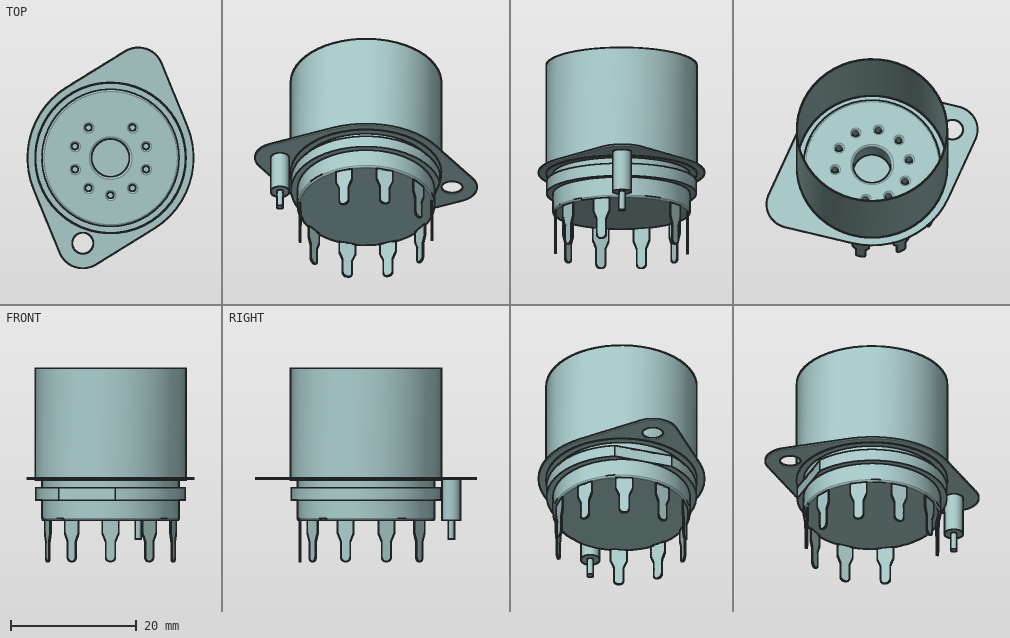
import cadquery as cq
import math

CONTACT_PLACES = 10
CONTACT_STEP = 360.0 / CONTACT_PLACES
FIRST_CONTACT_ANGLE = -90.0
EMPTY_PLACE = CONTACT_PLACES // 2
CONTACT_ANGLES = [
    FIRST_CONTACT_ANGLE + CONTACT_STEP * place
    for place in range(CONTACT_PLACES)
    if place != EMPTY_PLACE
]

BLADE_CIRCLE_RADIUS = 10.45
BLADE_THICKNESS = 0.2
BLADE_WIDTH = 2.67
BLADE_TIP_WIDTH = 1.55
BLADE_TIP_RADIUS = 0.7
BLADE_TAPER_BOTTOM = 3.15
BLADE_TAPER_TOP = 4.5

BASE_DIAMETER = 21.8
BASE_BOTTOM = 6.53
BASE_HEIGHT = 8.0
BASE_EDGE_RADIUS = 0.3
RING_DIAMETER = 23.8
RING_BOTTOM = 9.75
RING_HEIGHT = 2.0
RING_FLAT_ANGLE = 250.0
WELL_DIAMETER = 6.0
WELL_EDGE_RADIUS = 0.4
WELL_DEPTH = 4.0
CONTACT_HOLE_CIRCLE_RADIUS = 5.93
CONTACT_HOLE_DIAMETER = 1.02
CONTACT_HOLE_EDGE_RADIUS = 0.3
CONTACT_HOLE_DEPTH = 4.0

TUBE_OUTER_DIAMETER = 24.0
TUBE_INNER_DIAMETER = RING_DIAMETER
TUBE_BOTTOM = 12.95
TUBE_TOP = 30.7
FLANGE_BOTTOM = 13.05
FLANGE_THICKNESS = 0.28
FLANGE_EDGE_RADIUS = 0.1
FLANGE_DIAMETER = 26.43
FLANGE_LENGTH = 35.1
LUG_RADIUS = 4.0
LUG_AXIS_ANGLE = 72.0
MOUNT_HOLE_DIAMETER = 3.3
STANDOFF_DIAMETER = 3.0
STANDOFF_BOTTOM = BASE_BOTTOM
STANDOFF_PIN_DIAMETER = 1.02
STANDOFF_PIN_BOTTOM = 3.55

BASE_TOP = BASE_BOTTOM + BASE_HEIGHT
FLANGE_TOP = FLANGE_BOTTOM + FLANGE_THICKNESS
LUG_DISTANCE = (FLANGE_LENGTH / 2 - LUG_RADIUS) / math.sin(math.radians(LUG_AXIS_ANGLE))


def polar(radius, angle):
    """Point at a radius and an angle in degrees around the Z axis."""
    return (radius * math.cos(math.radians(angle)), radius * math.sin(math.radians(angle)))


def cylinder(diameter, bottom, top, center=(0, 0)):
    """Upright cylinder between two heights."""
    return cq.Workplane("XY", origin=(*center, bottom)).circle(diameter / 2).extrude(top - bottom)


def make_blade(angle):
    """Flat contact blade that narrows to a rounded tip, facing outward at the given angle."""
    half_width = BLADE_WIDTH / 2
    half_tip = BLADE_TIP_WIDTH / 2
    outline = [
        (-half_tip, 0),
        (half_tip, 0),
        (half_tip, BLADE_TAPER_BOTTOM),
        (half_width, BLADE_TAPER_TOP),
        (half_width, BASE_BOTTOM),
        (-half_width, BASE_BOTTOM),
        (-half_width, BLADE_TAPER_TOP),
        (-half_tip, BLADE_TAPER_BOTTOM),
    ]
    blade = (
        cq.Workplane("YZ")
        .polyline(outline)
        .close()
        .extrude(BLADE_THICKNESS / 2, both=True)
        .faces("<Z")
        .edges("|X")
        .fillet(BLADE_TIP_RADIUS)
    )
    return blade.translate((BLADE_CIRCLE_RADIUS, 0, 0)).rotate((0, 0, 0), (0, 0, 1), angle)


def make_ring():
    """Collar around the base, cut flat beside the mounting hole."""
    ring = cylinder(RING_DIAMETER, RING_BOTTOM, RING_BOTTOM + RING_HEIGHT)
    flat_cutter = (
        cq.Workplane("XY", origin=(0, 0, RING_BOTTOM))
        .rect(RING_DIAMETER, RING_DIAMETER)
        .extrude(RING_HEIGHT)
        .translate((BASE_DIAMETER / 2 + RING_DIAMETER / 2, 0, 0))
        .rotate((0, 0, 0), (0, 0, 1), RING_FLAT_ANGLE)
    )
    return ring.cut(flat_cutter)


def make_rounded_hole(diameter, depth, edge_radius, center=(0, 0)):
    """Cutter for a blind hole in the top of the base whose mouth is rounded outward."""
    radius = diameter / 2
    arc_reach = edge_radius * (1 - math.sqrt(0.5))
    return (
        cq.Workplane("XZ")
        .moveTo(0, -depth)
        .lineTo(radius, -depth)
        .lineTo(radius, -edge_radius)
        .threePointArc((radius + arc_reach, -arc_reach), (radius + edge_radius, 0))
        .lineTo(0, 0)
        .close()
        .revolve(360, (0, 0), (0, 1))
        .translate((*center, BASE_TOP))
    )


def make_socket():
    """Socket base with its collar, center well, contact holes and contact blades."""
    socket = cylinder(BASE_DIAMETER, BASE_BOTTOM, BASE_TOP).edges().fillet(BASE_EDGE_RADIUS)
    socket = socket.union(make_ring())
    socket = socket.cut(make_rounded_hole(WELL_DIAMETER, WELL_DEPTH, WELL_EDGE_RADIUS))
    for angle in CONTACT_ANGLES:
        center = polar(CONTACT_HOLE_CIRCLE_RADIUS, angle)
        socket = socket.cut(
            make_rounded_hole(CONTACT_HOLE_DIAMETER, CONTACT_HOLE_DEPTH, CONTACT_HOLE_EDGE_RADIUS, center)
        )
        socket = socket.union(make_blade(angle))
    return socket


def make_flange():
    """Plate whose round middle runs along tangent lines into two opposite round lugs."""
    radius = FLANGE_DIAMETER / 2
    tangent = math.degrees(math.acos((radius - LUG_RADIUS) / LUG_DISTANCE))

    def lug_point(axis, normal):
        center_x, center_y = polar(LUG_DISTANCE, axis)
        offset_x, offset_y = polar(LUG_RADIUS, normal)
        return (center_x + offset_x, center_y + offset_y)

    axis = LUG_AXIS_ANGLE
    opposite = axis + 180
    return (
        cq.Workplane("XY", origin=(0, 0, FLANGE_BOTTOM))
        .moveTo(*polar(radius, axis - tangent))
        .lineTo(*lug_point(axis, axis - tangent))
        .threePointArc(lug_point(axis, axis), lug_point(axis, axis + tangent))
        .lineTo(*polar(radius, axis + tangent))
        .threePointArc(polar(radius, axis + 90), polar(radius, opposite - tangent))
        .lineTo(*lug_point(opposite, opposite - tangent))
        .threePointArc(lug_point(opposite, opposite), lug_point(opposite, opposite + tangent))
        .lineTo(*polar(radius, opposite + tangent))
        .threePointArc(polar(radius, axis - 90), polar(radius, axis - tangent))
        .close()
        .extrude(FLANGE_THICKNESS)
    )


def make_shield():
    """Thin tube on a flange with a mounting hole, a standoff and a floor that fits around the base."""
    standoff_center = polar(LUG_DISTANCE, LUG_AXIS_ANGLE)
    hole_center = polar(LUG_DISTANCE, LUG_AXIS_ANGLE + 180)
    flange = (
        make_flange()
        .cut(cylinder(MOUNT_HOLE_DIAMETER, FLANGE_BOTTOM, FLANGE_TOP, hole_center))
        .faces("<Z or >Z")
        .edges()
        .fillet(FLANGE_EDGE_RADIUS)
    )
    tube = cylinder(TUBE_OUTER_DIAMETER, TUBE_BOTTOM, TUBE_TOP)
    return (
        flange.union(tube)
        .cut(cylinder(TUBE_INNER_DIAMETER, FLANGE_TOP, TUBE_TOP))
        .cut(cylinder(BASE_DIAMETER, TUBE_BOTTOM, FLANGE_TOP))
        .union(cylinder(STANDOFF_DIAMETER, STANDOFF_BOTTOM, FLANGE_BOTTOM, standoff_center))
        .union(cylinder(STANDOFF_PIN_DIAMETER, STANDOFF_PIN_BOTTOM, STANDOFF_BOTTOM, standoff_center))
    )


socket = make_socket()
shield = make_shield()
result = cq.Compound.makeCompound([socket.val(), shield.val()])